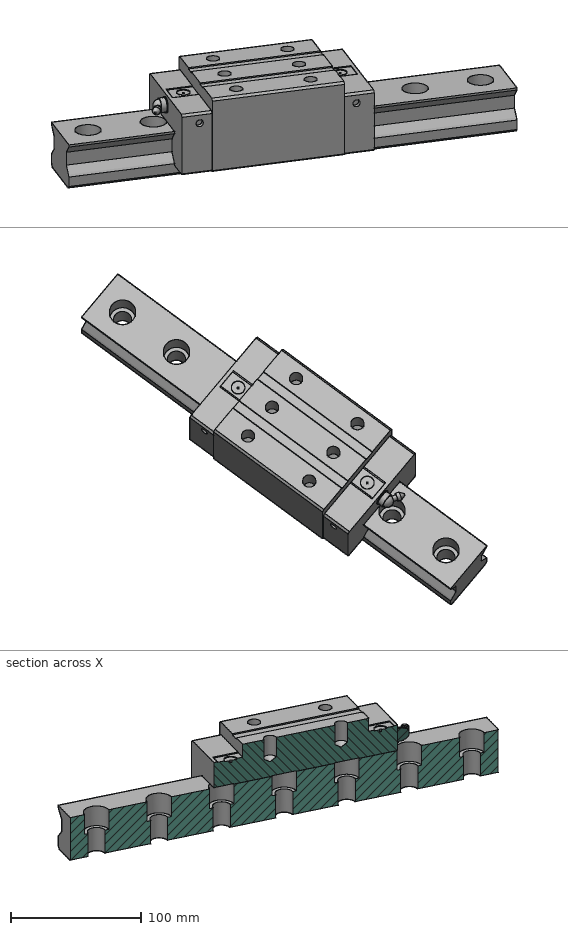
import cadquery as cq
import math


rail_length = 360.0
rail_width = 45.0
rail_half_width = rail_width / 2
rail_height = 37.0
rail_foot_chamfer = 2.0
foot_side_top = 10.0
foot_bevel_top = 11.5
foot_bevel_width = 1.0
neck_half_width = 16.0
neck_bottom = 17.3
neck_top = 28.0
head_lip_bottom = 35.3

rail_hole_count = 7
rail_hole_pitch = 52.5
bolt_hole_diameter = 14.0
bolt_head_diameter = 20.0
bolt_head_depth = 17.0

carriage_y = -18.0
overall_height = 70.0
carriage_bottom = 8.5
block_width = 86.0
block_length = 106.2
block_chamfer = 1.8
cap_width = 84.0
cap_length = 24.0
cap_top = 59.0
cap_chamfer = 1.8
bottom_chamfer = 1.0
cap_center_offset = block_length / 2 + cap_length / 2

groove_offset = 15.0
groove_width = 7.5
groove_depth = 1.0
tapped_diameter = 10.0
tapped_depth = 17.0
tapped_spacing = 30.0
drill_tip_angle = 118.0

port_offset = 63.0
port_recess_width = 17.0
port_recess_floor_width = 14.8
port_recess_end = 74.0
port_recess_depth = 0.5
port_disc_diameter = 10.5
port_disc_depth = 0.7
port_pilot_diameter = 1.5
port_pilot_depth = 1.8
side_port_diameter = 5.8
side_port_depth = 3.5
side_port_z = 50.5

nipple_z = 50.0
flange_radius = 6.5
flange_length = 0.7
body_radius = 5.8
body_length = 5.0
ball_radius = 5.0
spout_angle = 30.0
spout_neck_radius = 2.0
spout_head_start = 8.0
spout_cone_start = 10.8
spout_length = 14.5
spout_head_radius = 3.2
spout_tip_radius = 0.7


def rail_profile_points():
    """Closed, mirror-symmetric section of the rail in the XZ plane."""
    right_side = [
        (rail_half_width - rail_foot_chamfer, 0),
        (rail_half_width, rail_foot_chamfer),
        (rail_half_width, foot_side_top),
        (rail_half_width - foot_bevel_width, foot_bevel_top),
        (neck_half_width, neck_bottom),
        (neck_half_width, neck_top),
        (rail_half_width, head_lip_bottom),
        (rail_half_width, rail_height),
    ]
    left_side = [(-x, z) for x, z in reversed(right_side)]
    return right_side + left_side


def plain_rail():
    """Rail without holes, also used to cut the carriage's channel."""
    section = cq.Workplane("XZ").polyline(rail_profile_points()).close()
    return section.extrude(rail_length / 2, both=True)


def make_rail():
    """Rail with a row of counterbored mounting holes."""
    middle = (rail_hole_count - 1) / 2
    hole_places = [(0, (i - middle) * rail_hole_pitch) for i in range(rail_hole_count)]
    return (
        plain_rail()
        .faces(">Z")
        .workplane(origin=(0, 0, rail_height))
        .pushPoints(hole_places)
        .cboreHole(bolt_hole_diameter, bolt_head_diameter, bolt_head_depth)
    )


def chamfered_box(width, length, top, center_y, top_chamfer):
    """Box standing on the carriage's bottom level, with its long edges chamfered."""
    height = top - carriage_bottom
    box = cq.Workplane("XY", origin=(0, center_y, carriage_bottom))
    box = box.box(width, length, height, centered=(True, True, False))
    box = box.faces(">Z").edges("|Y").chamfer(top_chamfer)
    return box.faces("<Z").edges("|Y").chamfer(bottom_chamfer)


def top_grooves():
    """Two shallow grooves along the block's top."""
    grooves = cq.Workplane("XY", origin=(0, carriage_y, overall_height - groove_depth))
    grooves = grooves.pushPoints([(-groove_offset, 0), (groove_offset, 0)])
    return grooves.box(groove_width, block_length, groove_depth, centered=(True, True, False))


def tapped_hole(x, y):
    """Blind drilled hole with a conical bottom, sunk from the block's top."""
    radius = tapped_diameter / 2
    tip_length = radius / math.tan(math.radians(drill_tip_angle / 2))
    outline = [(0, 0), (radius, 0), (radius, -tapped_depth), (0, -tapped_depth - tip_length)]
    hole = cq.Workplane("XZ").polyline(outline).close().revolve(360, (0, 0), (0, 1))
    return hole.translate((x, y, overall_height))


def cap_ports(side):
    """Recess with sloping sides, disc and pilot hole in a cap's top, and its two blind side holes."""
    y = carriage_y + side * port_offset
    recess_outline = [
        (-port_recess_width / 2, cap_top),
        (port_recess_width / 2, cap_top),
        (port_recess_floor_width / 2, cap_top - port_recess_depth),
        (-port_recess_floor_width / 2, cap_top - port_recess_depth),
    ]
    recess_length = port_recess_end - block_length / 2
    recess_y = carriage_y + side * (port_recess_end + block_length / 2) / 2
    recess = cq.Workplane("XZ", origin=(0, recess_y, 0)).polyline(recess_outline).close()
    recess = recess.extrude(recess_length / 2, both=True)

    disc_top = cq.Workplane("XY", origin=(0, y, cap_top - port_recess_depth))
    disc = disc_top.circle(port_disc_diameter / 2).extrude(-port_disc_depth)
    pilot = disc_top.circle(port_pilot_diameter / 2).extrude(-port_disc_depth - port_pilot_depth)
    ports = recess.union(disc).union(pilot)

    for face_x in (-cap_width / 2, cap_width / 2):
        side_face = cq.Workplane("YZ", origin=(face_x, y, side_port_z))
        inward = -math.copysign(side_port_depth, face_x)
        ports = ports.union(side_face.circle(side_port_diameter / 2).extrude(inward))
    return ports


def make_carriage():
    """Block with an end cap at each end, cut to the rail's section."""
    carriage = chamfered_box(block_width, block_length, overall_height, carriage_y, block_chamfer)
    carriage = carriage.cut(top_grooves())
    for x in (-tapped_spacing, 0, tapped_spacing):
        for y in (-tapped_spacing, tapped_spacing):
            carriage = carriage.cut(tapped_hole(x, carriage_y + y))
    for side in (-1, 1):
        cap_y = carriage_y + side * cap_center_offset
        cap = chamfered_box(cap_width, cap_length, cap_top, cap_y, cap_chamfer)
        carriage = carriage.union(cap.cut(cap_ports(side)))
    return carriage.cut(plain_rail())


def make_nipple():
    """Angled grease nipple: flange and round body, ball, and a conical spout."""
    face_y = carriage_y - block_length / 2 - cap_length
    base = cq.Workplane("XZ", origin=(0, face_y, nipple_z))
    flange = base.circle(flange_radius).extrude(flange_length)
    body = base.circle(body_radius).extrude(body_length)

    ball_y = face_y - body_length
    ball = cq.Workplane("XY", origin=(0, ball_y, nipple_z)).sphere(ball_radius)

    spout_outline = [
        (0, 0),
        (0, spout_neck_radius),
        (spout_head_start, spout_neck_radius),
        (spout_head_start, spout_head_radius),
        (spout_cone_start, spout_head_radius),
        (spout_length, spout_tip_radius),
        (spout_length, 0),
    ]
    spout = cq.Workplane("XY").polyline(spout_outline).close().revolve(360, (0, 0), (1, 0))
    spout = spout.rotate((0, 0, 0), (0, 0, 1), -spout_angle).translate((0, ball_y, nipple_z))
    return flange.union(body).union(ball).union(spout)


rail = make_rail()
carriage = make_carriage()
nipple = make_nipple()

bodies = [rail, carriage, nipple]
result = cq.Compound.makeCompound([body.solids().val() for body in bodies])